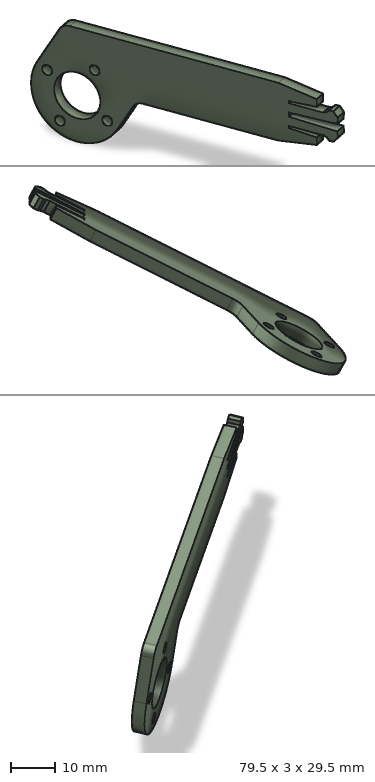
import cadquery as cq
import math

thickness = 3.0
hub_radius = 12.0
bore_radius = 6.0
screw_hole_radius = 1.3
screw_circle_radius = 9.0
screw_hole_count = 4
neck_angle = 60

arm_top = 17.5
arm_height = 15.0
arm_middle = arm_top - arm_height / 2
bend_radius = 3.0

taper_start = 52.1
finger_end = 62.1
slot_root = 54.85
overall_length = 79.5
prong_lean = 0.04
prong_end = overall_length - hub_radius
prong_inner_end = prong_end - prong_lean
finger_outer = 6.0
finger_inner = 4.0
side_slot_outer = 3.5
prong_outer = 2.95
middle_slot_root = 0.55
middle_slot_mouth = 0.95

hook_start = 63.75
hook_kink = 64.7
hook_kink_height = 3.3
hook_crest_start = 65.35
hook_crest_end = 66.4
hook_height = 4.0
hook_nose = 2.6


def neck_edge_point(side_angle, height):
    """Point at a given height on the hub tangent parallel to the neck."""
    side = math.radians(side_angle)
    tangent_x = hub_radius * math.cos(side)
    tangent_z = hub_radius * math.sin(side)
    run = (height - tangent_z) / math.tan(math.radians(neck_angle))
    return (tangent_x + run, height)


def hub_point(angle):
    turn = math.radians(angle)
    return (hub_radius * math.cos(turn), hub_radius * math.sin(turn))


def extrude_plate(sketch):
    return sketch.extrude(thickness / 2, both=True)


def make_tip_points():
    """Tip outline from the arm's top edge round to its bottom edge."""
    upper = [
        (taper_start, arm_height / 2),
        (finger_end, finger_outer),
        (finger_end, finger_inner),
        (slot_root, side_slot_outer),
        (slot_root, prong_outer),
        (hook_start, prong_outer),
        (hook_kink, hook_kink_height),
        (hook_crest_start, hook_height),
        (hook_crest_end, hook_height),
        (prong_end, hook_nose),
        (prong_inner_end, middle_slot_mouth),
        (slot_root, middle_slot_root),
    ]
    lower = [(x, -offset) for x, offset in reversed(upper)]
    return [(x, arm_middle + offset) for x, offset in upper + lower]


def make_body():
    left_side = neck_angle + 90
    right_side = neck_angle - 90
    top_corner = neck_edge_point(left_side, arm_top)
    bottom_corner = neck_edge_point(right_side, arm_top - arm_height)
    outline = cq.Workplane("XZ").moveTo(*hub_point(left_side)).lineTo(*top_corner)
    for point in make_tip_points():
        outline = outline.lineTo(*point)
    outline = (
        outline.lineTo(*bottom_corner)
        .lineTo(*hub_point(right_side))
        .threePointArc(hub_point(neck_angle + 180), hub_point(left_side))
        .close()
    )
    body = extrude_plate(outline)
    for x, z in (top_corner, bottom_corner):
        bend = body.edges(cq.selectors.NearestToPointSelector((x, 0, z)))
        body = bend.fillet(bend_radius)
    return body


def make_hub_holes():
    bore = extrude_plate(cq.Workplane("XZ").circle(bore_radius))
    screw_holes = extrude_plate(
        cq.Workplane("XZ")
        .polarArray(screw_circle_radius, neck_angle, 360, screw_hole_count)
        .circle(screw_hole_radius)
    )
    return bore.union(screw_holes)


result = make_body().cut(make_hub_holes())